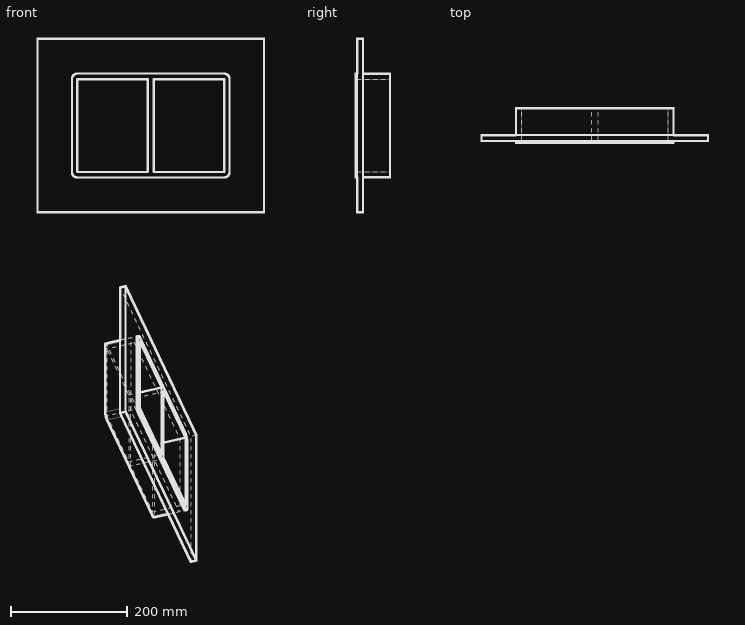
import cadquery as cq

plate_width = 391.0
plate_height = 299.5
plate_thickness = 10.0

frame_width = 272.0
frame_height = 179.0
frame_depth = 60.0
front_projection = 3.0
corner_radius = 9.8

wall = 9.8
divider = 11.0
window_width = (frame_width - 2 * wall - divider) / 2
window_height = frame_height - 2 * wall
window_spacing = window_width + divider


def block(width, height, depth, front_y):
    """Box centred in X and Z, running back along +Y from front_y."""
    return (
        cq.Workplane("XY")
        .box(width, depth, height, centered=(True, False, True))
        .translate((0, front_y, 0))
    )


plate = block(plate_width, plate_height, plate_thickness, front_projection)
frame = block(frame_width, frame_height, frame_depth, 0).edges("|Y").fillet(corner_radius)
result = plate.union(frame)

for side in (-1, 1):
    window = block(window_width, window_height, frame_depth, 0)
    result = result.cut(window.translate((side * window_spacing / 2, 0, 0)))